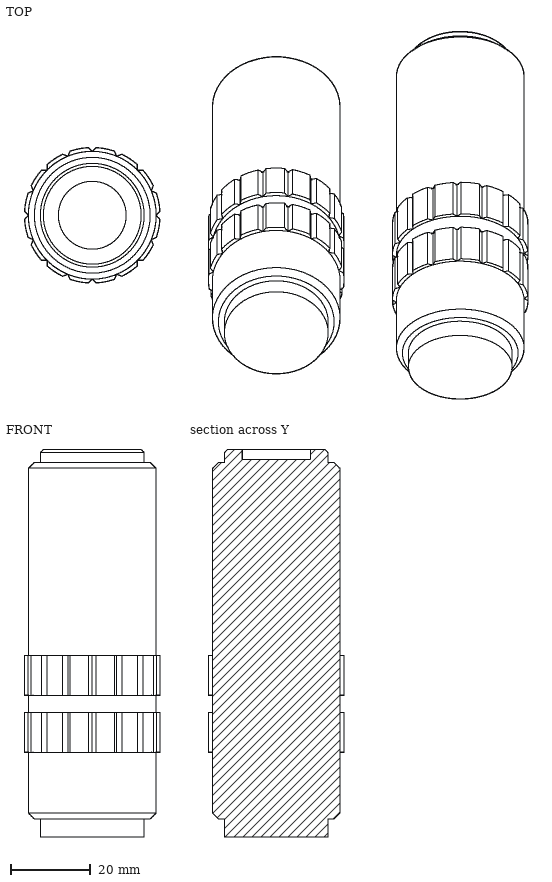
import cadquery as cq
import math

total_height = 97.0
lower_spigot_height = 4.5
upper_spigot_height = 3.2
shoulder_z = total_height - upper_spigot_height

body_radius = 16.0
spigot_radius = 13.0
shoulder_chamfer = 1.5
rim_chamfer = 0.75

recess_radius = 8.5
recess_depth = 2.5

ring_radius = 17.0
ring_height = 10.0
ring_gap = 4.25
lower_ring_z = 21.2
upper_ring_z = lower_ring_z + ring_height + ring_gap
groove_count = 16
groove_half_width = 1.0
groove_apex_radius = body_radius


def make_body():
    """Revolve the stepped, chamfered half section about Z."""
    shoulder_radius = body_radius - shoulder_chamfer
    section = [
        (0, 0),
        (spigot_radius, 0),
        (spigot_radius, lower_spigot_height),
        (shoulder_radius, lower_spigot_height),
        (body_radius, lower_spigot_height + shoulder_chamfer),
        (body_radius, shoulder_z - shoulder_chamfer),
        (shoulder_radius, shoulder_z),
        (spigot_radius, shoulder_z),
        (spigot_radius, total_height - rim_chamfer),
        (spigot_radius - rim_chamfer, total_height),
        (0, total_height),
    ]
    return cq.Workplane("XZ").polyline(section).close().revolve(360, (0, 0), (0, 1))


def make_recess():
    """Round pocket sunk into the top face."""
    return (
        cq.Workplane("XY")
        .workplane(offset=total_height - recess_depth)
        .circle(recess_radius)
        .extrude(recess_depth)
    )


def make_grip_ring(base_z):
    """Disc whose rim carries evenly spaced V grooves along Z."""
    ring = cq.Workplane("XY").workplane(offset=base_z).circle(ring_radius).extrude(ring_height)
    rim_x = math.sqrt(ring_radius**2 - groove_half_width**2)
    outer_x = ring_radius + groove_half_width
    outer_half_width = groove_half_width * (outer_x - groove_apex_radius) / (rim_x - groove_apex_radius)
    groove = (
        cq.Workplane("XY")
        .workplane(offset=base_z)
        .polyline([
            (groove_apex_radius, 0),
            (outer_x, -outer_half_width),
            (outer_x, outer_half_width),
        ])
        .close()
        .extrude(ring_height)
    )
    for index in range(groove_count):
        angle = index * 360.0 / groove_count
        ring = ring.cut(groove.rotate((0, 0, 0), (0, 0, 1), angle))
    return ring


result = make_body()
for ring_base_z in (lower_ring_z, upper_ring_z):
    result = result.union(make_grip_ring(ring_base_z))
result = result.cut(make_recess())